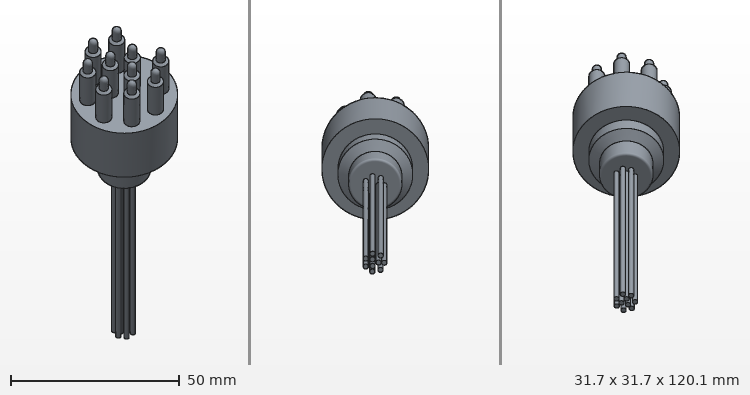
import cadquery as cq
import math

WIRE_LENGTH = 70.0
BOOT_LENGTH = 7.2
CONE_HEIGHT = 1.9
NECK_HEIGHT = 4.7
FLANGE_HEIGHT = 19.1
TOTAL_LENGTH = 120.1
BOOT_TOP = WIRE_LENGTH + BOOT_LENGTH
NECK_BOTTOM = BOOT_TOP + CONE_HEIGHT
FLANGE_BOTTOM = NECK_BOTTOM + NECK_HEIGHT
FLANGE_TOP = FLANGE_BOTTOM + FLANGE_HEIGHT

FLANGE_DIAMETER = 31.7
NECK_DIAMETER = 22.2
BOOT_DIAMETER = 15.9
BOOT_FILLET = 0.7

SLEEVE_DIAMETER = 4.8
CONTACT_DIAMETER = 2.8
CONTACT_LENGTH = 4.6
DOME_FILLET = 1.3
SHOULDER_HEIGHT = 0.6
SHOULDER_TOP = TOTAL_LENGTH - CONTACT_LENGTH
SLEEVE_TOP = SHOULDER_TOP - SHOULDER_HEIGHT

OUTER_PIN_RADIUS = 11.0
OUTER_PIN_PLACES = 8
EMPTY_PLACE = 2
INNER_PAIR_X = 3.8
INNER_PAIR_Y = -1.7
INNER_SINGLE_Y = 4.3

BUNDLE_X = -0.2
BUNDLE_Y = 0.1
WIRE_DIAMETER = 1.6
OUTER_WIRE_RADIUS = 2.9
OUTER_WIRES = 7
OUTER_WIRE_START = 11.5
INNER_WIRE_RADIUS = 1.2
INNER_WIRES = 3
INNER_WIRE_START = 130


def ring(radius, count, start_angle):
    """Points spaced evenly on a circle around the axis."""
    angles = [math.radians(start_angle + 360 / count * i) for i in range(count)]
    return [(radius * math.cos(a), radius * math.sin(a)) for a in angles]


def pin_places():
    outer = ring(OUTER_PIN_RADIUS, OUTER_PIN_PLACES, 0)
    del outer[EMPTY_PLACE]
    inner = [(INNER_PAIR_X, INNER_PAIR_Y), (-INNER_PAIR_X, INNER_PAIR_Y), (0, INNER_SINGLE_Y)]
    return outer + inner


def wire_places():
    outer = ring(OUTER_WIRE_RADIUS, OUTER_WIRES, OUTER_WIRE_START)
    inner = ring(INNER_WIRE_RADIUS, INNER_WIRES, INNER_WIRE_START)
    return [(x + BUNDLE_X, y + BUNDLE_Y) for x, y in outer + inner]


def make_pin():
    """One pin on the axis, revolved from its half section."""
    sleeve_radius = SLEEVE_DIAMETER / 2
    contact_radius = CONTACT_DIAMETER / 2
    return (
        cq.Workplane("XZ")
        .moveTo(0, FLANGE_TOP)
        .lineTo(sleeve_radius, FLANGE_TOP)
        .lineTo(sleeve_radius, SLEEVE_TOP)
        .lineTo(contact_radius, SHOULDER_TOP)
        .lineTo(contact_radius, TOTAL_LENGTH)
        .lineTo(0, TOTAL_LENGTH)
        .close()
        .revolve(360, (0, 0, 0), (0, 1, 0))
        .faces(">Z").edges()
        .fillet(DOME_FILLET)
    )


def make_head():
    """Flange, neck and cone with the ten pins moulded on top."""
    head = (
        cq.Workplane("XZ")
        .moveTo(0, BOOT_TOP)
        .lineTo(BOOT_DIAMETER / 2, BOOT_TOP)
        .lineTo(NECK_DIAMETER / 2, NECK_BOTTOM)
        .lineTo(NECK_DIAMETER / 2, FLANGE_BOTTOM)
        .lineTo(FLANGE_DIAMETER / 2, FLANGE_BOTTOM)
        .lineTo(FLANGE_DIAMETER / 2, FLANGE_TOP)
        .lineTo(0, FLANGE_TOP)
        .close()
        .revolve(360, (0, 0, 0), (0, 1, 0))
    )
    pin = make_pin()
    for x, y in pin_places():
        head = head.union(pin.translate((x, y, 0)))
    return head


def make_tail():
    """Boot under the cone with the ten wires hanging from it."""
    boot = (
        cq.Workplane("XY", origin=(0, 0, WIRE_LENGTH))
        .circle(BOOT_DIAMETER / 2)
        .extrude(BOOT_LENGTH)
        .faces("<Z").edges()
        .fillet(BOOT_FILLET)
    )
    wires = (
        cq.Workplane("XY")
        .pushPoints(wire_places())
        .circle(WIRE_DIAMETER / 2)
        .extrude(WIRE_LENGTH)
    )
    return boot.union(wires)


head = make_head()
tail = make_tail()
result = cq.Compound.makeCompound([head.val(), tail.val()])